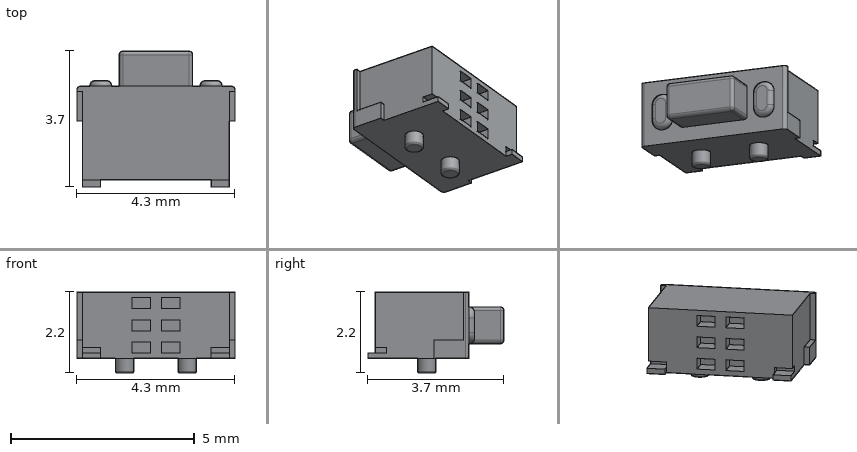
import cadquery as cq

plate_width = 4.3
height = 1.8
sheet = 0.15
body_width = plate_width - 2 * sheet
body_depth = 2.55
front_y = -body_depth / 2
back_y = body_depth / 2
mid_z = height / 2

plate_corner_radius = 0.1
wing_length = 0.95
wing_height = 0.5

button_width = 2.0
button_height = 1.0
button_length = 0.95
button_radius = 0.1
stake_width = 0.6
stake_height = 1.0
stake_length = 0.15
stake_radius = 0.145
stake_x = 1.5

pin_diameter = 0.5
pin_length = 0.4
pin_tip_radius = 0.05
pin_x = 0.85
pin_y = back_y - 1.15

window_width = 0.5
window_height = 0.3
window_depth = 0.5
window_pitch_x = 0.8
window_pitch_z = 0.6

foot_width = 0.5
foot_thickness = 0.15
foot_projection = 0.198
notch_depth = 0.3
notch_height = 2 * foot_thickness
foot_x = (body_width - foot_width) / 2


def block(x, y_min, z_min, width, depth, tall):
    """Box centred on x, starting at y_min and z_min."""
    return cq.Workplane("XY").box(width, depth, tall, centered=(True, False, False)).translate((x, y_min, z_min))


def make_shell():
    """Body with the wider plate and its two side wings."""
    body = block(0, front_y, 0, body_width, body_depth, height)
    plate = block(0, back_y - sheet, 0, plate_width, sheet, height)
    wings = block(0, back_y - wing_length, 0, plate_width, wing_length, wing_height)
    cover = plate.union(wings).edges("|Z and >Y").fillet(plate_corner_radius)
    return body.union(cover)


def make_button():
    """Button with every edge rounded except those on the plate."""
    button = block(0, back_y, mid_z - button_height / 2, button_width, button_length, button_height)
    return button.edges("|Y or >Y").fillet(button_radius)


def make_stake(x):
    """Upright round-ended stake with a rounded rim."""
    profile = cq.Workplane("XZ", origin=(x, back_y, mid_z)).slot2D(stake_height, stake_width, 90)
    return profile.extrude(-stake_length).faces(">Y").edges().fillet(stake_radius)


def make_pin(x):
    """Round pin with a rounded tip."""
    pin = cq.Workplane("XY").center(x, pin_y).circle(pin_diameter / 2).extrude(-pin_length)
    return pin.faces("<Z").edges().fillet(pin_tip_radius)


def make_windows():
    """Cutting blocks for two columns of three windows."""
    grid = cq.Workplane("XZ", origin=(0, front_y, mid_z)).rarray(window_pitch_x, window_pitch_z, 2, 3)
    return grid.rect(window_width, window_height).extrude(-window_depth)


result = make_shell().cut(make_windows())
result = result.union(make_button())

for side in (-1, 1):
    notch = block(side * foot_x, front_y, 0, foot_width, notch_depth, notch_height)
    foot_length = notch_depth + foot_projection
    foot = block(side * foot_x, front_y - foot_projection, 0, foot_width, foot_length, foot_thickness)
    result = result.cut(notch).union(foot)
    result = result.union(make_stake(side * stake_x))
    result = result.union(make_pin(side * pin_x))